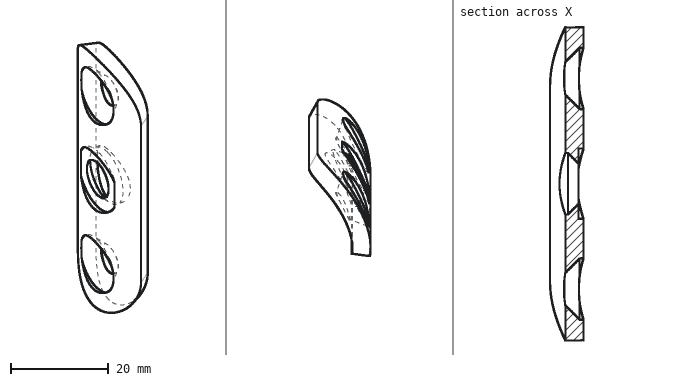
import cadquery as cq
import math

plate_width = 24.0
plate_length = 64.0
outer_radius = 20.7
thickness = 3.725

screw_spacing = 43.0
screw_hole_diameter = 6.4
screw_head_diameter = 12.5
head_recess_depth = 0.8

countersink_angle = 90.0

center_hole_diameter = 8.2
center_recess_diameter = 12.5
spotface_diameter = 14.2
spotface_depth = 1.0

crest_y = -outer_radius


def rod(diameter, start_depth, end_depth, z):
    """Cylinder along Y at height z, between two depths below the crest of the convex face."""
    return (
        cq.Workplane("XZ", origin=(0, crest_y + end_depth, z))
        .circle(diameter / 2)
        .extrude(end_depth - start_depth)
    )


def bent_plate():
    """Trim the convex face to a round-ended outline, then thicken it toward the bend axis."""
    cylinder = cq.Workplane("XY").circle(outer_radius).extrude(plate_length / 2, both=True)
    outline_prism = (
        cq.Workplane("XZ")
        .slot2D(plate_length, plate_width, 90)
        .extrude(2 * outer_radius)
    )
    convex_face = cylinder.intersect(outline_prism).faces("<Y").val()
    return cq.Workplane(convex_face.thicken(-thickness))


def cone(small_diameter, large_diameter, small_depth, large_depth, z):
    """Cone along Y at height z, with the depth below the crest given for each of its ends."""
    return (
        cq.Workplane("XZ", origin=(0, crest_y + small_depth, z))
        .circle(small_diameter / 2)
        .workplane(offset=small_depth - large_depth)
        .circle(large_diameter / 2)
        .loft()
    )


def cone_height(small_diameter, large_diameter):
    """Height of a countersink cone that joins the two diameters."""
    radius_change = (large_diameter - small_diameter) / 2
    return radius_change / math.tan(math.radians(countersink_angle / 2))


def countersunk_hole(z):
    """Through hole, conical seat and a shallow cylindrical head recess above the seat."""
    seat_end_depth = head_recess_depth + cone_height(screw_hole_diameter, screw_head_diameter)
    hole = rod(screw_hole_diameter, 0, outer_radius, z)
    seat = cone(screw_hole_diameter, screw_head_diameter, seat_end_depth, head_recess_depth, z)
    recess = rod(screw_head_diameter, 0, head_recess_depth, z)
    return hole.union(seat).union(recess)


def center_hole():
    """Flat spotface, then a hole that flares from the spotface to a recess in the concave face."""
    flare_end_depth = spotface_depth + cone_height(center_hole_diameter, center_recess_diameter)
    spotface = rod(spotface_diameter, 0, spotface_depth, 0)
    flare = cone(center_hole_diameter, center_recess_diameter, spotface_depth, flare_end_depth, 0)
    recess = rod(center_recess_diameter, flare_end_depth, outer_radius, 0)
    return spotface.union(flare).union(recess)


result = bent_plate().cut(center_hole())
for screw_z in (-screw_spacing / 2, screw_spacing / 2):
    result = result.cut(countersunk_hole(screw_z))